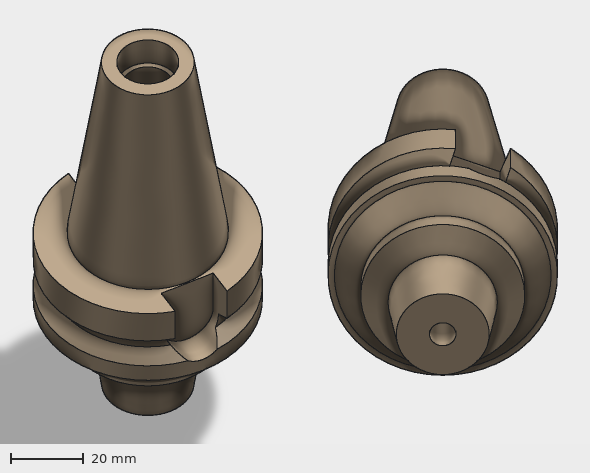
import cadquery as cq

total_length = 125.1
flange_radius = 31.5

nose_tip_radius = 12.8
nose_root_radius = 15.0
nose_root_z = 17.6
collar_radius = 22.5
collar_bottom_z = 21.4
collar_top_z = 26.3
shoulder_radius = 29.8

flange_bottom_z = 32.7
groove_lower_edge_z = 38.3
groove_floor_bottom_z = 40.9
groove_floor_top_z = 45.3
groove_upper_edge_z = 48.0
flange_top_z = 58.7
groove_floor_radius = 26.8

taper_large_radius = 22.1
taper_small_radius = 12.8
taper_start_z = 59.8

mouth_radius = 8.5
mouth_depth = 9.0
thread_bore_radius = 7.0
thread_bore_depth = 30.0
through_radius = 3.6

slot_width = 16.3
slot_bottom_z = 36.9
slot_floor_x = 22.5


def make_body():
    """Solid of revolution about Z: nose, flange, groove and taper."""
    half_profile = [
        (0, 0),
        (nose_tip_radius, 0),
        (nose_root_radius, nose_root_z),
        (collar_radius, collar_bottom_z),
        (collar_radius, collar_top_z),
        (shoulder_radius, flange_bottom_z),
        (flange_radius, flange_bottom_z),
        (flange_radius, groove_lower_edge_z),
        (groove_floor_radius, groove_floor_bottom_z),
        (groove_floor_radius, groove_floor_top_z),
        (flange_radius, groove_upper_edge_z),
        (flange_radius, flange_top_z),
        (taper_large_radius, flange_top_z),
        (taper_large_radius, taper_start_z),
        (taper_small_radius, total_length),
        (0, total_length),
    ]
    return cq.Workplane("XZ").polyline(half_profile).close().revolve(360, (0, 0), (0, 1))


def bore_from_top(radius, depth):
    """Cylinder on the axis, reaching down from the small end of the taper."""
    return cq.Workplane("XY").workplane(offset=total_length).circle(radius).extrude(-depth)


def drive_slot(side):
    """Round-bottomed slot cutter; side is -1 for -X and +1 for +X."""
    half_width = slot_width / 2
    arc_center_z = slot_bottom_z + half_width
    return (
        cq.Workplane("YZ")
        .workplane(offset=side * slot_floor_x)
        .moveTo(-half_width, flange_top_z)
        .lineTo(-half_width, arc_center_z)
        .threePointArc((0, slot_bottom_z), (half_width, arc_center_z))
        .lineTo(half_width, flange_top_z)
        .close()
        .extrude(side * flange_radius)
    )


result = make_body()

for radius, depth in (
    (mouth_radius, mouth_depth),
    (thread_bore_radius, thread_bore_depth),
    (through_radius, total_length),
):
    result = result.cut(bore_from_top(radius, depth))

for side in (-1, 1):
    result = result.cut(drive_slot(side))